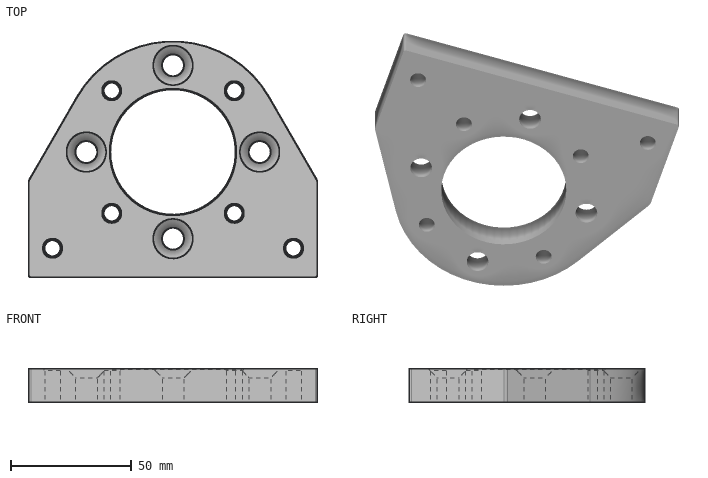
import cadquery as cq
import math

width = 120.0
depth = 98.0
thickness = 14.0
crown_radius = 46.0
base_y = crown_radius - depth
flank_angle = math.radians(30)
base_corner_radius = 1.0
shoulder_radius = 3.0

bore_diameter = 52.0
bore_chamfer = 0.4
bolt_circle_radius = 36.0
screw_diameter = 9.0
screw_head_diameter = 16.5
tapped_diameter = 6.6
tapped_mouth_diameter = 8.0
corner_hole_x = 50.0
corner_hole_y = -40.0
countersink_angle = 90


def polar_points(first_angle):
    """Four equally spaced points on the bolt circle."""
    angles = [math.radians(first_angle + 90 * i) for i in range(4)]
    return [(bolt_circle_radius * math.cos(a), bolt_circle_radius * math.sin(a)) for a in angles]


def make_plate():
    """Rounded crown with tangent flanks running down to a straight-sided base."""
    half_width = width / 2
    tangent_x = crown_radius * math.cos(flank_angle)
    tangent_y = crown_radius * math.sin(flank_angle)
    shoulder_y = tangent_y - (half_width - tangent_x) / math.tan(flank_angle)
    plate = (
        cq.Workplane("XY")
        .moveTo(-half_width, base_y)
        .lineTo(half_width, base_y)
        .lineTo(half_width, shoulder_y)
        .lineTo(tangent_x, tangent_y)
        .threePointArc((0, crown_radius), (-tangent_x, tangent_y))
        .lineTo(-half_width, shoulder_y)
        .close()
        .extrude(thickness)
    )
    plate = plate.edges("|Z and <Y").fillet(base_corner_radius)
    shoulder_box = cq.selectors.BoxSelector(
        (-width, shoulder_y - shoulder_radius, 0),
        (width, shoulder_y + shoulder_radius, thickness),
    )
    return plate.edges("|Z").edges(shoulder_box).fillet(shoulder_radius)


def drill_countersunk(body, points, diameter, mouth_diameter):
    """Through holes countersunk from the top face."""
    top = body.faces(">Z").workplane(origin=(0, 0, thickness))
    return top.pushPoints(points).cskHole(diameter, mouth_diameter, countersink_angle)


corner_points = [(side * corner_hole_x, corner_hole_y) for side in (-1, 1)]

result = make_plate()
bore_mouth_diameter = bore_diameter + 2 * bore_chamfer
result = drill_countersunk(result, [(0, 0)], bore_diameter, bore_mouth_diameter)
result = drill_countersunk(result, polar_points(0), screw_diameter, screw_head_diameter)
result = drill_countersunk(result, polar_points(45) + corner_points, tapped_diameter, tapped_mouth_diameter)